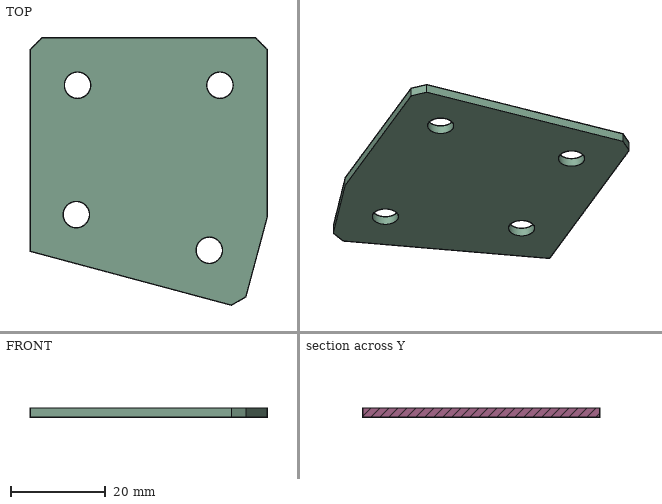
import cadquery as cq
import math

width = 50.0
thickness = 2.0
left_length = 45.0
tilt = math.radians(15.0)
tilted_side_length = 20.0
corner_chamfer = 2.5

hole_diameter = 5.5
edge_margin = 10.0
lower_hole_spacing = 29.0

along = cq.Vector(math.cos(tilt), -math.sin(tilt))
up = cq.Vector(math.sin(tilt), math.cos(tilt))

upper_left = cq.Vector(0, 0)
upper_right = cq.Vector(width, 0)
lower_left = cq.Vector(0, -left_length)
lower_edge_length = (width - tilted_side_length * math.sin(tilt)) / math.cos(tilt)
lower_right = lower_left + along * lower_edge_length
right_bend = lower_right + up * tilted_side_length


def make_plate():
    """Flat five-sided plate with its three square corners chamfered."""
    outline = [upper_left, upper_right, right_bend, lower_right, lower_left]
    plate = cq.Workplane("XY").polyline([p.toTuple()[:2] for p in outline]).close().extrude(thickness)
    for corner in (upper_left, upper_right, lower_right):
        corner_edge = cq.selectors.NearestToPointSelector((corner.x, corner.y, thickness / 2))
        plate = plate.edges("|Z").edges(corner_edge).chamfer(corner_chamfer)
    return plate


def hole_centres():
    """Upper pair square to the top edge, lower pair parallel to the sloped edge."""
    lower_right_hole = lower_right + (up - along) * edge_margin
    return [
        cq.Vector(edge_margin, -edge_margin),
        cq.Vector(width - edge_margin, -edge_margin),
        lower_right_hole,
        lower_right_hole - along * lower_hole_spacing,
    ]


def drill_holes(plate):
    """Cut the round holes right through the plate."""
    centres = [p.toTuple()[:2] for p in hole_centres()]
    drills = cq.Workplane("XY").pushPoints(centres).circle(hole_diameter / 2).extrude(thickness)
    return plate.cut(drills)


result = drill_holes(make_plate())